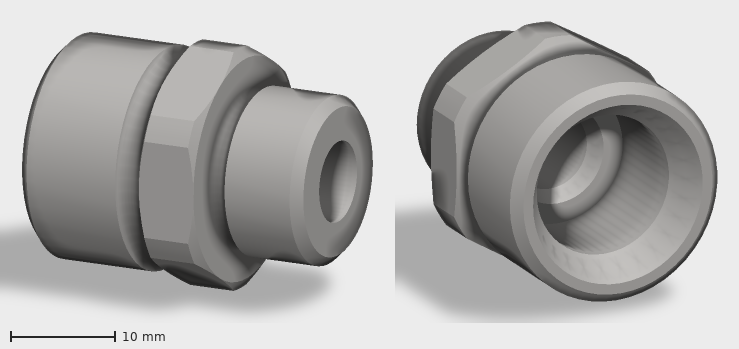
import cadquery as cq
import math

length = 29.0

body_radius = 22.0 / 2
body_chamfer = 1.0

groove_radius = 1.28
groove_center_x = 11.8
groove_floor_radius = 10.0

across_flats = 22.0
hex_corner_radius = 24.0 / 2
hex_end_x = 19.0
hex_bevel_angle = math.radians(60)

neck_radius = 14.3 / 2
neck_fillet = 0.75
spigot_radius = 16.65 / 2
spigot_start_x = 21.0
spigot_chamfer = 1.0

mouth_radius = 9.0
socket_radius = 14.0 / 2
cone_depth = 3.45
socket_depth = 14.0
bore_radius = 8.0 / 2
countersink_radius = 5.0
countersink_depth = 1.7


def outer_profile():
    """Half section of the turned outside; X is the axis and Y is the radius."""
    groove_center_r = groove_floor_radius + groove_radius
    groove_edge_x = groove_center_x - math.sqrt(groove_radius**2 - (groove_center_r - body_radius) ** 2)

    bevel_x = groove_center_x + groove_radius * math.sin(hex_bevel_angle)
    bevel_r = groove_center_r - groove_radius * math.cos(hex_bevel_angle)
    hex_start_x = bevel_x + (hex_corner_radius - bevel_r) / math.tan(hex_bevel_angle)

    end_bevel_length = (hex_corner_radius - across_flats / 2) / math.tan(hex_bevel_angle)

    fillet_mid = neck_fillet * (1 - math.sqrt(0.5))
    fillet_top_r = neck_radius + neck_fillet

    return (
        cq.Workplane("XY")
        .moveTo(0, 0)
        .lineTo(0, body_radius - body_chamfer)
        .lineTo(body_chamfer, body_radius)
        .lineTo(groove_edge_x, body_radius)
        .threePointArc((groove_center_x, groove_floor_radius), (bevel_x, bevel_r))
        .lineTo(hex_start_x, hex_corner_radius)
        .lineTo(hex_end_x - end_bevel_length, hex_corner_radius)
        .lineTo(hex_end_x, across_flats / 2)
        .lineTo(hex_end_x, fillet_top_r)
        .threePointArc(
            (hex_end_x + fillet_mid, neck_radius + fillet_mid),
            (hex_end_x + neck_fillet, neck_radius),
        )
        .lineTo(spigot_start_x - neck_fillet, neck_radius)
        .threePointArc(
            (spigot_start_x - fillet_mid, neck_radius + fillet_mid),
            (spigot_start_x, fillet_top_r),
        )
        .lineTo(spigot_start_x, spigot_radius)
        .lineTo(length - spigot_chamfer, spigot_radius)
        .lineTo(length, spigot_radius - spigot_chamfer)
        .lineTo(length, 0)
        .close()
    )


def bore_profile():
    """Half section of the conical mouth, the socket and the through bore."""
    return (
        cq.Workplane("XY")
        .moveTo(0, 0)
        .lineTo(0, mouth_radius)
        .lineTo(cone_depth, socket_radius)
        .lineTo(socket_depth, socket_radius)
        .lineTo(socket_depth, countersink_radius)
        .lineTo(socket_depth + countersink_depth, bore_radius)
        .lineTo(length, bore_radius)
        .lineTo(length, 0)
        .close()
    )


def revolve_about_x(profile):
    return profile.revolve(360, (0, 0, 0), (1, 0, 0))


def hex_prism():
    """Full-length hexagonal bar with flats facing +Y and -Y."""
    across_corners = across_flats / math.cos(math.pi / 6)
    return (
        cq.Workplane("YZ")
        .transformed(rotate=(0, 0, 90))
        .polygon(6, across_corners)
        .extrude(length)
    )


result = revolve_about_x(outer_profile()).intersect(hex_prism()).cut(revolve_about_x(bore_profile()))